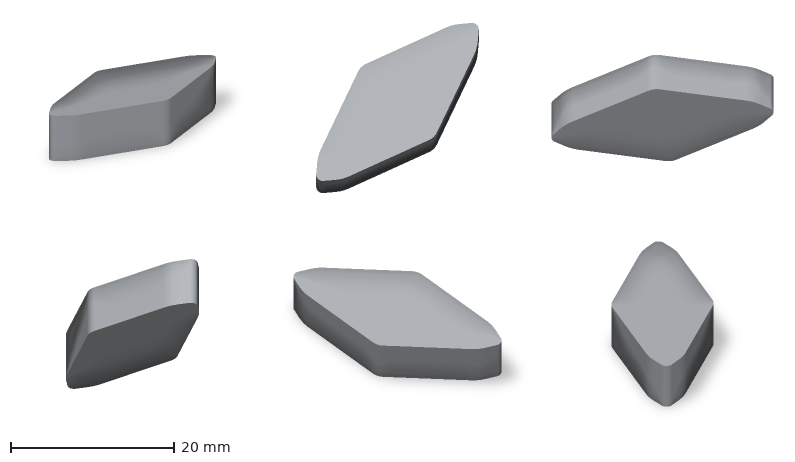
import cadquery as cq
import math

length = 25.95
width = 12.0
thickness = 6.0

side_angle = math.radians(20)
tip_angle = math.radians(40)
diagonal_tilt = 110

blunt_radius = 2.0
shoulder_radius = 5.0
tip_radius = 0.8

half_long = width / 2 / math.sin(side_angle)
half_short = width / 2 / math.cos(side_angle)

tip_centre = (length / 2 - tip_radius) / math.sin(math.radians(diagonal_tilt))
tip_x = tip_centre + tip_radius / math.sin(tip_angle)

side_slope = math.tan(side_angle)
tip_slope = math.tan(tip_angle)
shoulder_x = (tip_x * tip_slope - half_long * side_slope) / (tip_slope - side_slope)
shoulder_y = (tip_x - shoulder_x) * tip_slope


def round_corners(body, corner_x, radius):
    """Round the upright edges standing at corner_x on either side of the centre."""
    tolerance = 0.003
    edges = body.edges("|Z").filter(
        lambda edge: abs(abs(edge.Center().x) - corner_x) < tolerance
    )
    return edges.fillet(radius)


plate = (
    cq.Workplane("XY")
    .polyline([
        (tip_x, 0),
        (shoulder_x, shoulder_y),
        (0, half_short),
        (-shoulder_x, shoulder_y),
        (-tip_x, 0),
        (-shoulder_x, -shoulder_y),
        (0, -half_short),
        (shoulder_x, -shoulder_y),
    ])
    .close()
    .extrude(thickness)
)

plate = round_corners(plate, 0, blunt_radius)
plate = round_corners(plate, shoulder_x, shoulder_radius)
plate = round_corners(plate, tip_x, tip_radius)

result = plate.rotate((0, 0, 0), (0, 0, 1), diagonal_tilt)